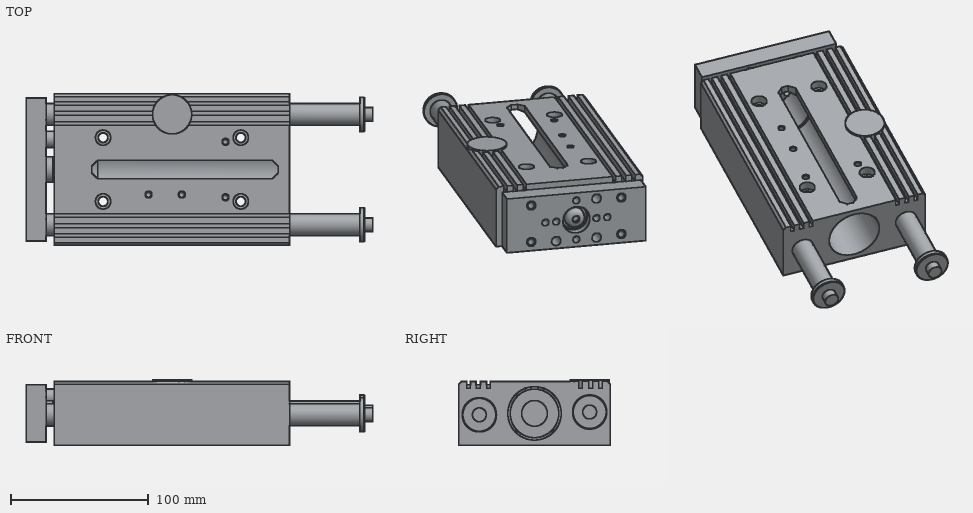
import cadquery as cq

HOUSING_FRONT = 20.4
HOUSING_LENGTH = 170.8
HOUSING_WIDTH = 110.0
HOUSING_HEIGHT = 46.3
HOUSING_BACK = HOUSING_FRONT + HOUSING_LENGTH
EDGE_CHAMFER = 2.0
MID_HEIGHT = HOUSING_HEIGHT / 2

GROOVES = [(33.5, 2.5), (40.7, 3.0), (47.8, 2.5)]
GROOVE_DEPTH = 5.0

DISC_DIAMETER = 28.5
DISC_X = 106.0
DISC_Y = 40.0
DISC_RISE = 1.3

BORE_DIAMETER = 38.7
BORE_FRONT = 51.8
BORE_NOSE_DIAMETER = 35.2
SLOT_FRONT = 47.5
SLOT_BACK = 182.8
SLOT_WIDTH = 13.3
SLOT_CORNER = 4.3

MOUNT_X = (55.8, 155.7)
MOUNT_Y = 23.1
MOUNT_DIAMETER = 6.8
MOUNT_HEAD_DIAMETER = 11.0
MOUNT_HEAD_DEPTH = 6.5

TAPPED_PLACES = [(88.8, -18.0), (113.0, -18.0), (144.5, 20.0), (144.5, -20.0)]
TAPPED_DIAMETER = 4.0
TAPPED_DEPTH = 6.3
TAPPED_CHAMFER = 0.5
DRILL_POINT = 1.3

PLATE_THICKNESS = 14.5
PLATE_WIDTH = 103.9
PLATE_HEIGHT = 41.7

HOLE_PITCH = 15.0
OUTER_HOLE_Y = 23.1
SMALL_HOLE_DIAMETER = 5.0
SMALL_HOLE_DEPTH = 10.0
LARGE_HOLE_DIAMETER = 6.8
CORNER_HOLE_Y = 33.7
CORNER_HOLE_Z = 14.0
CORNER_HOLE_DIAMETER = 5.0
CORNER_MOUTH_DIAMETER = 6.5
CORNER_MOUTH_DEPTH = 0.5

RECESS_DIAMETER = 20.0
RECESS_STEP_DEPTH = 6.8
RECESS_FLOOR_DIAMETER = 18.5
RECESS_DEPTH = 7.5
HEAD_DIAMETER = 14.5
HEAD_TOP_DIAMETER = 6.5
HEAD_HEIGHT = 6.3
SOCKET_DIAMETER = 5.0
SOCKET_DEPTH = 2.5

PISTON_ROD_DIAMETER = 18.5
PISTON_ROD_END = 19.4
STOP_PIN_DIAMETER = 12.0
STOP_PIN_Y = 22.0
STOP_PIN_Z = 35.0

ROD_DIAMETER = 16.0
ROD_Y = 40.0
ROD_Z_OFFSET = 1.0
FLANGE_FRONT = 242.0
FLANGE_BACK = 245.5
FLANGE_DIAMETER = 25.0
FLANGE_CHAMFER = 0.5
TIP_END = 251.5
TIP_DIAMETER = 10.0

ROD_PLACES = [(side * ROD_Y, MID_HEIGHT + side * ROD_Z_OFFSET) for side in (-1, 1)]


def x_cylinder(diameter, start, end, y=0.0, z=MID_HEIGHT):
    """Cylinder along X between two X positions."""
    plane = cq.Workplane("YZ", origin=(start, y, z))
    return plane.circle(diameter / 2).extrude(end - start)


def z_cylinder(diameter, bottom, top, x, y):
    """Cylinder along Z between two heights."""
    plane = cq.Workplane("XY", origin=(x, y, bottom))
    return plane.circle(diameter / 2).extrude(top - bottom)


def housing_block():
    block = cq.Workplane("XY").box(
        HOUSING_LENGTH, HOUSING_WIDTH, HOUSING_HEIGHT, centered=(False, True, False)
    )
    block = block.edges("|X and >Z").chamfer(EDGE_CHAMFER)
    return block.translate((HOUSING_FRONT, 0, 0))


def top_grooves():
    cutter = cq.Workplane("XY")
    for distance, width in GROOVES:
        for side in (-1, 1):
            groove = cq.Workplane("XY").box(
                HOUSING_LENGTH, width, GROOVE_DEPTH, centered=(False, True, False)
            )
            groove_bottom = HOUSING_HEIGHT - GROOVE_DEPTH
            cutter = cutter.add(groove.translate((HOUSING_FRONT, side * distance, groove_bottom)))
    return cutter.combine()


def cover_disc():
    bottom = HOUSING_HEIGHT - GROOVE_DEPTH
    return z_cylinder(DISC_DIAMETER, bottom, HOUSING_HEIGHT + DISC_RISE, DISC_X, DISC_Y)


def bore_and_slot():
    bore = x_cylinder(BORE_DIAMETER, BORE_FRONT, HOUSING_BACK)
    nose = x_cylinder(BORE_NOSE_DIAMETER, HOUSING_FRONT, BORE_FRONT)
    slot = cq.Workplane("XY").box(
        SLOT_BACK - SLOT_FRONT, SLOT_WIDTH, HOUSING_HEIGHT - MID_HEIGHT, centered=(False, True, False)
    )
    slot = slot.edges("|Z").chamfer(SLOT_CORNER).translate((SLOT_FRONT, 0, MID_HEIGHT))
    return bore.union(nose).union(slot)


def mounting_hole(x, y):
    hole = z_cylinder(MOUNT_DIAMETER, 0, HOUSING_HEIGHT, x, y)
    head = z_cylinder(MOUNT_HEAD_DIAMETER, HOUSING_HEIGHT - MOUNT_HEAD_DEPTH, HOUSING_HEIGHT, x, y)
    return hole.union(head)


def tapped_hole(x, y):
    """Blind hole with a countersunk mouth and a conical drill point."""
    radius = TAPPED_DIAMETER / 2
    profile = (
        cq.Workplane("XZ", origin=(x, y, HOUSING_HEIGHT))
        .moveTo(0, 0)
        .lineTo(radius + TAPPED_CHAMFER, 0)
        .lineTo(radius, -TAPPED_CHAMFER)
        .lineTo(radius, -TAPPED_DEPTH)
        .lineTo(0, -TAPPED_DEPTH - DRILL_POINT)
        .close()
    )
    return profile.revolve(360, (0, 0, 0), (0, 1, 0))


def make_housing():
    housing = housing_block().cut(top_grooves()).union(cover_disc()).cut(bore_and_slot())
    for x in MOUNT_X:
        for side in (-1, 1):
            housing = housing.cut(mounting_hole(x, side * MOUNT_Y))
    for x, y in TAPPED_PLACES:
        housing = housing.cut(tapped_hole(x, y))
    for y, z in ROD_PLACES:
        housing = housing.cut(x_cylinder(ROD_DIAMETER, HOUSING_FRONT, HOUSING_BACK, y, z))
    return housing


def front_plate():
    plate = cq.Workplane("XY").box(PLATE_THICKNESS, PLATE_WIDTH, PLATE_HEIGHT, centered=(False, True, True))
    return plate.translate((0, 0, MID_HEIGHT))


def plate_holes():
    small = [(0, HOLE_PITCH), (0, -HOLE_PITCH)]
    small += [(side * y, 0) for side in (-1, 1) for y in (HOLE_PITCH, OUTER_HOLE_Y)]
    large = [(-HOLE_PITCH, HOLE_PITCH), (-HOLE_PITCH, -HOLE_PITCH), (HOLE_PITCH, -HOLE_PITCH)]
    face = cq.Workplane("YZ", origin=(0, 0, MID_HEIGHT))
    small_holes = face.pushPoints(small).circle(SMALL_HOLE_DIAMETER / 2).extrude(SMALL_HOLE_DEPTH)
    large_holes = face.pushPoints(large).circle(LARGE_HOLE_DIAMETER / 2).extrude(PLATE_THICKNESS)
    return small_holes.union(large_holes)


def stepped_hole(mouth_diameter, mouth_depth, diameter, depth, y=0.0, z=MID_HEIGHT):
    """Hole from the plate face with a wider mouth."""
    mouth = x_cylinder(mouth_diameter, 0, mouth_depth, y, z)
    return x_cylinder(diameter, 0, depth, y, z).union(mouth)


def screw_head():
    """Rounded head with a round socket, standing on the recess floor."""
    top = RECESS_DEPTH - HEAD_HEIGHT
    head = x_cylinder(HEAD_DIAMETER, top, RECESS_DEPTH)
    head = head.faces("<X").edges().fillet((HEAD_DIAMETER - HEAD_TOP_DIAMETER) / 2)
    return head.cut(x_cylinder(SOCKET_DIAMETER, top, top + SOCKET_DEPTH))


def guide_rod(y, z):
    rod = x_cylinder(ROD_DIAMETER, PLATE_THICKNESS, FLANGE_FRONT, y, z)
    flange = x_cylinder(FLANGE_DIAMETER, FLANGE_FRONT, FLANGE_BACK, y, z)
    flange = flange.faces(">X").edges().chamfer(FLANGE_CHAMFER)
    tip = x_cylinder(TIP_DIAMETER, FLANGE_BACK, TIP_END, y, z)
    return rod.union(flange).union(tip)


def make_slider():
    """Front plate with everything fixed to it."""
    slider = front_plate().cut(plate_holes())
    slider = slider.cut(
        stepped_hole(RECESS_DIAMETER, RECESS_STEP_DEPTH, RECESS_FLOOR_DIAMETER, RECESS_DEPTH)
    )
    for side_y in (-1, 1):
        for side_z in (-1, 1):
            y = side_y * CORNER_HOLE_Y
            z = MID_HEIGHT + side_z * CORNER_HOLE_Z
            slider = slider.cut(
                stepped_hole(CORNER_MOUTH_DIAMETER, CORNER_MOUTH_DEPTH, CORNER_HOLE_DIAMETER, PLATE_THICKNESS, y, z)
            )
    slider = slider.union(screw_head()).union(x_cylinder(PISTON_ROD_DIAMETER, PLATE_THICKNESS, PISTON_ROD_END))
    slider = slider.union(
        x_cylinder(STOP_PIN_DIAMETER, PLATE_THICKNESS, HOUSING_FRONT, STOP_PIN_Y, STOP_PIN_Z)
    )
    for y, z in ROD_PLACES:
        slider = slider.union(guide_rod(y, z))
    return slider


housing = make_housing()
slider = make_slider()
result = cq.Compound.makeCompound([housing.val(), slider.val()])